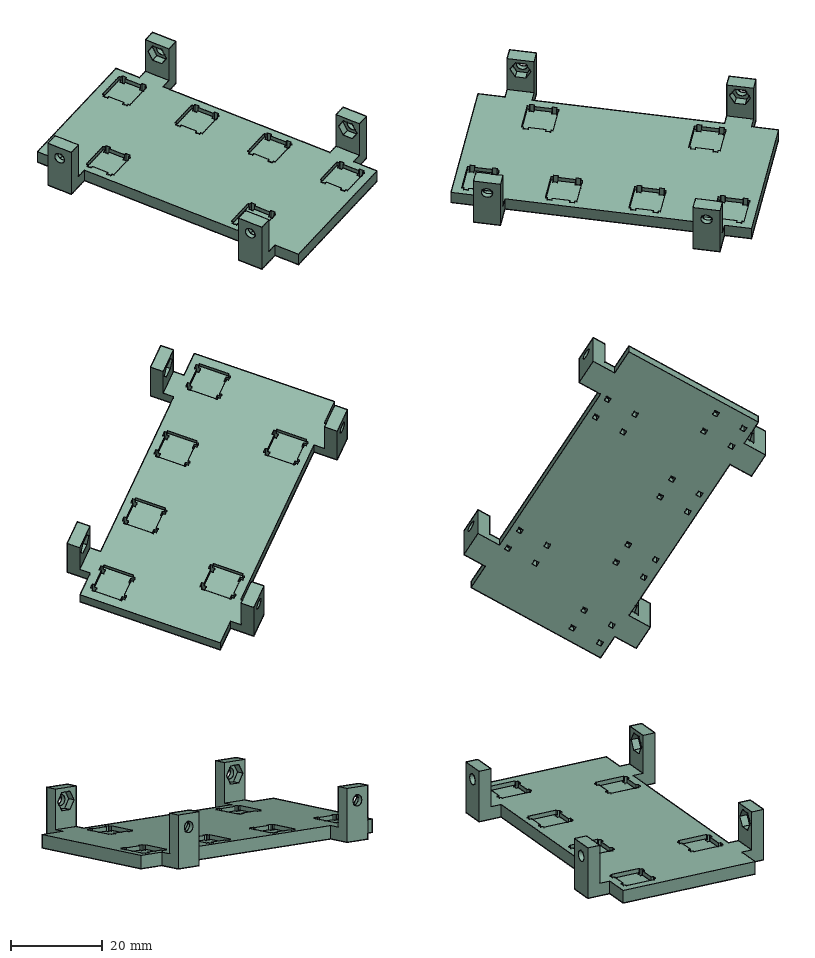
import cadquery as cq

plate_length = 66.8
plate_width = 33.05
plate_thickness = 3.0

overall_width = 44.0
tab_height = 12.0
tab_width = 6.0
tab_thickness = 3.0
tab_end_inset = 6.0
tab_center_x = plate_length / 2 - tab_end_inset - tab_width / 2
tab_inner_y = overall_width / 2 - tab_thickness

screw_hole_diameter = 2.5
screw_hole_z = 9.0
nut_sides = 6
nut_across_corners = 4.7
nut_pocket_depth = 1.8

pocket_size = 7.0
pocket_depth = 1.0
pocket_pitch = 18.6
pocket_row_y = 11.0
back_pocket_count = 4
back_row_half_length = (back_pocket_count - 1) * pocket_pitch / 2
pocket_centers = [(i * pocket_pitch - back_row_half_length, pocket_row_y) for i in range(back_pocket_count)]
pocket_centers += [(side * pocket_pitch, -pocket_row_y) for side in (-1, 1)]

pin_hole_size = 1.1
pin_hole_spacing_x = 5.0
pin_hole_spacing_y = pocket_size


def make_plate():
    return cq.Workplane("XY").box(plate_length, plate_width, plate_thickness, centered=(True, True, False))


def make_tab(x, side):
    """L-shaped tab on the long side facing +Y (side = 1) or -Y (side = -1)."""
    profile = [
        (0, 0),
        (side * overall_width / 2, 0),
        (side * overall_width / 2, tab_height),
        (side * tab_inner_y, tab_height),
        (side * tab_inner_y, plate_thickness),
        (0, plate_thickness),
    ]
    return (
        cq.Workplane("YZ", origin=(x, 0, 0))
        .polyline(profile)
        .close()
        .extrude(tab_width / 2, both=True)
    )


def make_tab_cutter(x, side):
    """Screw hole through a tab, with a nut pocket sunk into its inner face."""
    outward = cq.Plane(
        origin=(x, side * tab_inner_y, screw_hole_z), xDir=(1, 0, 0), normal=(0, side, 0)
    )
    screw_hole = cq.Workplane(outward).circle(screw_hole_diameter / 2).extrude(tab_thickness)
    nut_pocket = cq.Workplane(outward).polygon(nut_sides, nut_across_corners).extrude(nut_pocket_depth)
    return screw_hole.union(nut_pocket)


def cut_pockets(body):
    pockets = (
        cq.Workplane("XY", origin=(0, 0, plate_thickness))
        .pushPoints(pocket_centers)
        .rect(pocket_size, pocket_size)
        .extrude(-pocket_depth)
    )
    return body.cut(pockets)


def cut_pin_holes(body):
    pin_hole_centers = [
        (x + side_x * pin_hole_spacing_x / 2, y + side_y * pin_hole_spacing_y / 2)
        for x, y in pocket_centers
        for side_x in (-1, 1)
        for side_y in (-1, 1)
    ]
    pin_holes = (
        cq.Workplane("XY")
        .pushPoints(pin_hole_centers)
        .rect(pin_hole_size, pin_hole_size)
        .extrude(plate_thickness)
    )
    return body.cut(pin_holes)


tab_places = [(end * tab_center_x, side) for end in (-1, 1) for side in (-1, 1)]

result = make_plate()
for tab_x, tab_side in tab_places:
    result = result.union(make_tab(tab_x, tab_side))
    result = result.cut(make_tab_cutter(tab_x, tab_side))
result = cut_pockets(result)
result = cut_pin_holes(result)